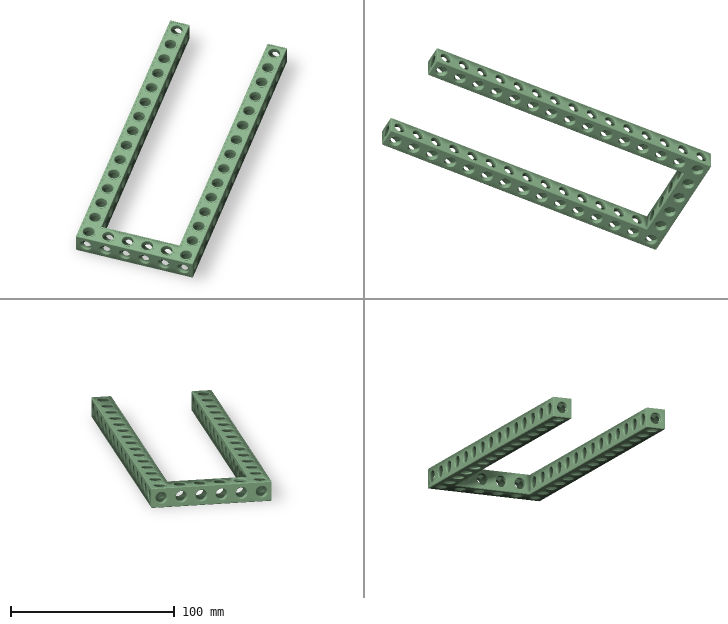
import cadquery as cq

length = 187.5
holes_per_leg = 15
holes_per_base = 6
rim_diameter = 9.2
land_width = 0.8
edge_chamfer = 0.3
panel_depth = 0.2
rib_width = 0.4

border = edge_chamfer + land_width
hole_diameter = rim_diameter - 2 * border

pitch = length / holes_per_leg
bar = pitch
width = holes_per_base * pitch
mid_height = bar / 2

X_AXIS = cq.Vector(1, 0, 0)
Y_AXIS = cq.Vector(0, 1, 0)
Z_AXIS = cq.Vector(0, 0, 1)


def grid(index):
    """Distance from the frame corner to the middle of a grid cell."""
    return (index + 0.5) * pitch


def grid_cells():
    """Column and row of every cell that the base and the two legs fill."""
    last = holes_per_base - 1
    base = [(column, 0) for column in range(holes_per_base)]
    legs = [(column, row) for column in (0, last) for row in range(1, holes_per_leg)]
    return base + legs


def u_prism(inset, bottom, height):
    """U-shaped prism, its outline moved inward by inset."""
    outer = (
        cq.Workplane("XY")
        .box(width - 2 * inset, length - 2 * inset, height, centered=False)
        .translate((inset, inset, bottom))
    )
    gap_start = bar - inset
    gap = (
        cq.Workplane("XY")
        .box(width - 2 * gap_start, length, height, centered=False)
        .translate((gap_start, gap_start, bottom))
    )
    return outer.cut(gap)


def frame_body():
    """U-shaped frame with all edges chamfered but the two upright inner corners."""
    body = u_prism(0, 0, bar)
    margin = bar / 2
    around_gap = cq.selectors.BoxSelector((margin, margin, 0), (width - margin, bar + margin, bar))
    inner_corners = cq.selectors.ParallelDirSelector(Z_AXIS) & around_gap
    straight_edges = cq.selectors.StringSyntaxSelector("|X or |Y or |Z")
    return body.edges(straight_edges - inner_corners).chamfer(edge_chamfer)


def bore(start, axis, depth):
    """Round through-hole cutter, chamfered at both mouths."""
    radius = hole_diameter / 2
    mouth_radius = radius + edge_chamfer
    end = start + axis * depth
    hole = cq.Solid.makeCylinder(radius, depth, start, axis)
    mouth_in = cq.Solid.makeCone(mouth_radius, radius, edge_chamfer, start, axis)
    mouth_out = cq.Solid.makeCone(mouth_radius, radius, edge_chamfer, end, axis * -1)
    return hole.fuse(mouth_in, mouth_out)


def vertical_bores():
    """One hole along Z in every grid cell."""
    return [bore(cq.Vector(grid(column), grid(row), 0), Z_AXIS, bar) for column, row in grid_cells()]


def crosswise_bores():
    """Holes along X: one through the whole base, the others through each leg."""
    bores = [bore(cq.Vector(0, grid(0), mid_height), X_AXIS, width)]
    for row in range(1, holes_per_leg):
        for leg_start in (0, width - bar):
            bores.append(bore(cq.Vector(leg_start, grid(row), mid_height), X_AXIS, bar))
    return bores


def lengthwise_bores():
    """Holes along Y: the outer two through the whole legs, the others through the base."""
    bores = []
    for column in range(holes_per_base):
        in_leg = column in (0, holes_per_base - 1)
        depth = length if in_leg else bar
        bores.append(bore(cq.Vector(grid(column), 0, mid_height), Y_AXIS, depth))
    return bores


def top_panel():
    """Shallow sunken area of the top face that leaves the border, the hole rims and one rib."""
    floor = bar - panel_depth
    centers = [(grid(column), grid(row)) for column, row in grid_cells()]
    rims = (
        cq.Workplane("XY")
        .workplane(offset=floor)
        .pushPoints(centers)
        .circle(rim_diameter / 2)
        .extrude(panel_depth)
    )
    rib = (
        cq.Workplane("XY")
        .box(pitch, rib_width, panel_depth, centered=(False, True, False))
        .translate((grid(holes_per_base - 2), grid(0), floor))
    )
    return u_prism(border, floor, panel_depth).cut(rims).cut(rib)


bores = vertical_bores() + crosswise_bores() + lengthwise_bores()
all_bores = cq.Workplane(bores[0].fuse(*bores[1:]))

result = frame_body().cut(top_panel()).cut(all_bores)